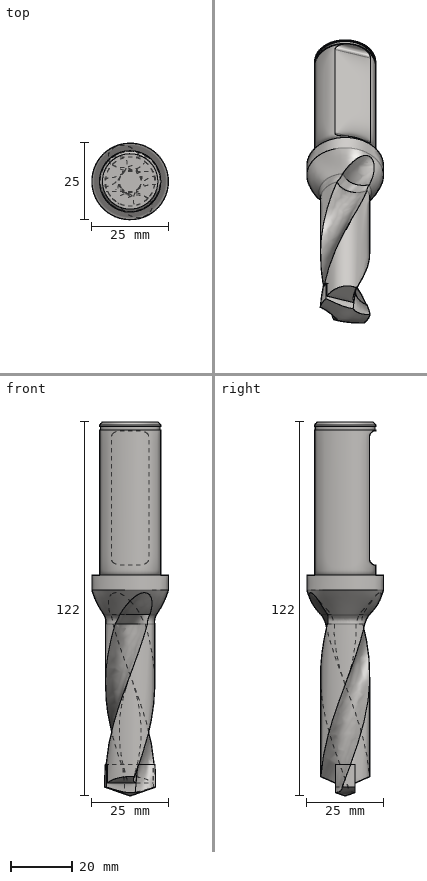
import cadquery as cq

TOTAL_LENGTH = 122.0
FLANGE_TOP = 72.0
FLANGE_BOTTOM = 67.1
BULB_END = 59.0
BODY_TOP = 56.1
INSERT_TOP = 10.2

SHANK_RADIUS = 20.0 / 2
FLANGE_RADIUS = 25.0 / 2
BODY_RADIUS = 8.0
BULB_END_RADIUS = 8.5
BULB_MID_RADIUS = 11.1
BULB_MID_HEIGHT = 63.5
NECK_MID_RADIUS = 8.0
NECK_MID_HEIGHT = 57.7

END_CHAMFER = 1.0
GROOVE_TOP = 120.5
GROOVE_BOTTOM = 119.3
GROOVE_DEPTH = 0.2

FLAT_DEPTH = 2.1
FLAT_BOTTOM = 75.3
FLAT_TOP = 119.1

INSERT_RADIUS = 8.3
INSERT_THICKNESS = 6.5
POINT_SLOPE = 0.35

ROOF_RIDGE_HEIGHT = 2.8
ROOF_SLOPE = 0.44

FLUTE_COUNT = 2
FLUTE_LEAD = 135.4
FLUTE_RADIUS = 6.7
CORE_RADIUS = 3.5
FLUTE_START = -1.2
FLUTE_START_ANGLE = 121.0

EASE_HEIGHT = 3.0
EASE_SLOPE = 0.35
RUNOUT_HEIGHT = 11.0
RUNOUT_SLOPE = 0.93
RUNOUT_SIDE_SLOPE = 0.6

CUT_MARGIN = 2.5


def make_turned_holder():
    """Shank, flange, bulb, neck and fluted body as one revolved profile."""
    groove_radius = SHANK_RADIUS - GROOVE_DEPTH
    return (
        cq.Workplane("XZ")
        .moveTo(0, 0)
        .lineTo(BODY_RADIUS, 0)
        .lineTo(BODY_RADIUS, BODY_TOP)
        .threePointArc((NECK_MID_RADIUS, NECK_MID_HEIGHT), (BULB_END_RADIUS, BULB_END))
        .threePointArc((BULB_MID_RADIUS, BULB_MID_HEIGHT), (FLANGE_RADIUS, FLANGE_BOTTOM))
        .lineTo(FLANGE_RADIUS, FLANGE_TOP)
        .lineTo(SHANK_RADIUS, FLANGE_TOP)
        .lineTo(SHANK_RADIUS, GROOVE_BOTTOM)
        .lineTo(groove_radius, GROOVE_BOTTOM)
        .lineTo(groove_radius, GROOVE_TOP)
        .lineTo(SHANK_RADIUS, GROOVE_TOP)
        .lineTo(SHANK_RADIUS, TOTAL_LENGTH - END_CHAMFER)
        .lineTo(SHANK_RADIUS - END_CHAMFER, TOTAL_LENGTH)
        .lineTo(0, TOTAL_LENGTH)
        .close()
        .revolve(360, (0, 0, 0), (0, 1, 0))
    )


def make_roof_cutter():
    """Prism along X that leaves the holder's lower end as a shallow roof."""
    reach = BODY_RADIUS + CUT_MARGIN
    eaves_height = ROOF_RIDGE_HEIGHT + ROOF_SLOPE * reach
    return (
        cq.Workplane("YZ")
        .polyline([
            (-reach, -CUT_MARGIN),
            (reach, -CUT_MARGIN),
            (reach, eaves_height),
            (0, ROOF_RIDGE_HEIGHT),
            (-reach, eaves_height),
        ])
        .close()
        .extrude(reach, both=True)
    )


def make_flat_cutter():
    """Block that mills the clamping flat, rounded at both ends of its floor."""
    length = FLAT_TOP - FLAT_BOTTOM
    height = FLAT_DEPTH + CUT_MARGIN
    return (
        cq.Workplane("XY")
        .box(2 * FLANGE_RADIUS, height, length, centered=(True, False, False))
        .edges("<Y and |X")
        .fillet(FLAT_DEPTH)
        .translate((0, SHANK_RADIUS - FLAT_DEPTH, FLAT_BOTTOM))
    )


def make_sloped_runout(start, outward_slope, height):
    """Round bar with a level section, climbing from start while leaning outward and sideways."""
    section = cq.Wire.makeCircle(FLUTE_RADIUS, start, cq.Vector(0, 0, 1))
    travel = cq.Vector(outward_slope, RUNOUT_SIDE_SLOPE, 1) * height
    return cq.Workplane(obj=cq.Solid.extrudeLinear(section, [], travel)), start + travel


def make_flute_cutters(start_angle):
    """Round groove twisted up the body, and the two bars that lead it out through the bulb."""
    axis_offset = CORE_RADIUS + FLUTE_RADIUS
    height = BODY_TOP - FLUTE_START
    twist = 360 * height / FLUTE_LEAD
    helix = (
        cq.Workplane("XY")
        .moveTo(axis_offset, 0)
        .circle(FLUTE_RADIUS)
        .twistExtrude(height, twist)
        .rotate((0, 0, 0), (0, 0, 1), start_angle)
        .translate((0, 0, FLUTE_START))
    )
    helix_end = cq.Vector(axis_offset, 0, BODY_TOP)
    ease, ease_end = make_sloped_runout(helix_end, EASE_SLOPE, EASE_HEIGHT)
    runout, _ = make_sloped_runout(ease_end, RUNOUT_SLOPE, RUNOUT_HEIGHT)
    end_angle = start_angle + twist
    return [helix] + [bar.rotate((0, 0, 0), (0, 0, 1), end_angle) for bar in (ease, runout)]


def cut_flutes(body):
    """Cut every flute, equally spaced around the axis."""
    for index in range(FLUTE_COUNT):
        for cutter in make_flute_cutters(FLUTE_START_ANGLE + index * 360 / FLUTE_COUNT):
            body = body.cut(cutter)
    return body


def make_insert_slab():
    """Flat slab across the drill, also the shape of the slot that seats it."""
    return cq.Workplane("XY").box(
        2 * FLANGE_RADIUS, INSERT_THICKNESS, INSERT_TOP, centered=(True, True, False)
    )


def make_insert_blank():
    """Pointed round blank, narrowed to the slab thickness."""
    return (
        cq.Workplane("XZ")
        .moveTo(0, 0)
        .lineTo(INSERT_RADIUS, POINT_SLOPE * INSERT_RADIUS)
        .lineTo(INSERT_RADIUS, INSERT_TOP)
        .lineTo(0, INSERT_TOP)
        .close()
        .revolve(360, (0, 0, 0), (0, 1, 0))
        .intersect(make_insert_slab())
    )


def make_holder():
    """Fluted holder with its clamping flat, roof-shaped end and insert slot."""
    holder = make_turned_holder()
    for cutter in (make_flat_cutter(), make_roof_cutter(), make_insert_slab()):
        holder = holder.cut(cutter)
    return cut_flutes(holder)


def make_insert():
    """Cutting insert, fluted in line with the holder."""
    return cut_flutes(make_insert_blank())


holder = make_holder()
insert = make_insert()

result = cq.Compound.makeCompound([*holder.solids().vals(), *insert.solids().vals()])